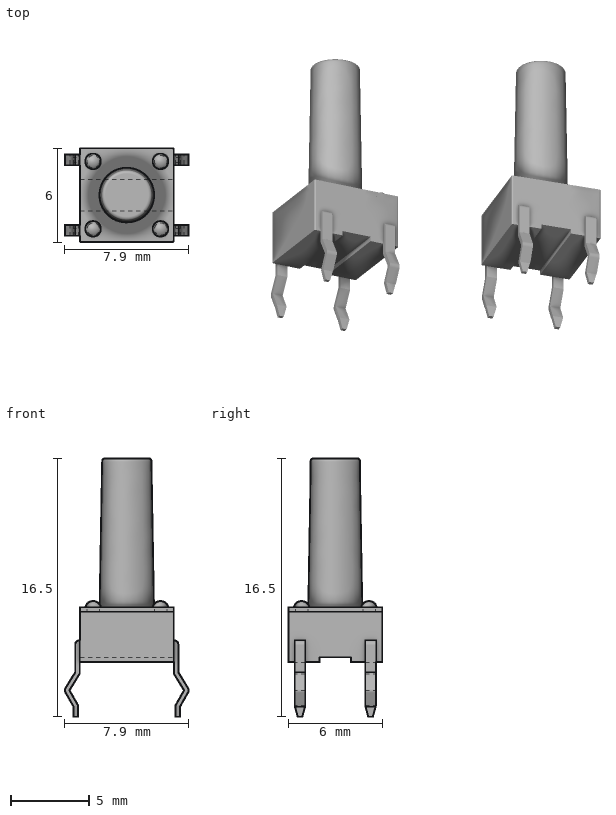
import cadquery as cq
import math


body_width = 6.0
body_height = 3.5
cover_thickness = 0.3
housing_height = body_height - cover_thickness
corner_radius = 0.1
notch_width = 2.0
notch_height = 0.3

rivet_pitch = 4.3
rivet_offset = rivet_pitch / 2
peg_diameter = 0.8
head_diameter = 1.0
head_height = 0.4

plunger_top = 13.0
plunger_diameter = 3.5
plunger_draft = 1.0
plunger_edge_radius = 0.2

terminal_pitch = 4.5
terminal_width = 0.7
strip_thickness = 0.3
shoulder_height = 1.1
knee_height = -0.75
elbow_height = -1.8
tip_height = -2.77
terminal_end = -3.5
terminal_span = 7.9
tip_inset = 0.1
tip_end_width = 0.3


def box_with_round_corners(height):
    block = cq.Workplane("XY").rect(body_width, body_width).extrude(height)
    return block.edges("|Z").fillet(corner_radius)


def at_rivets(plane):
    return plane.rect(rivet_pitch, rivet_pitch, forConstruction=True).vertices()


def make_rivet_head():
    """Spherical cap with its flat side on Z = 0."""
    radius = head_diameter / 2
    sphere_radius = (radius**2 + head_height**2) / (2 * head_height)
    half_angle = math.asin(radius / sphere_radius) / 2
    center_z = head_height - sphere_radius
    arc_middle = (sphere_radius * math.sin(half_angle), center_z + sphere_radius * math.cos(half_angle))
    profile = (
        cq.Workplane("XZ")
        .lineTo(radius, 0)
        .threePointArc(arc_middle, (0, head_height))
        .close()
    )
    return profile.revolve(360, (0, 0), (0, 1))


def make_housing():
    housing = box_with_round_corners(housing_height)
    notch = cq.Workplane("XY").rect(body_width, notch_width).extrude(notch_height)
    housing = housing.cut(notch)
    pegs = at_rivets(cq.Workplane("XY").workplane(offset=housing_height))
    housing = housing.union(pegs.circle(peg_diameter / 2).extrude(cover_thickness))
    head = make_rivet_head().translate((0, 0, body_height))
    for x in (-rivet_offset, rivet_offset):
        for y in (-rivet_offset, rivet_offset):
            housing = housing.union(head.translate((x, y, 0)))
    return housing


def make_cover():
    cover = box_with_round_corners(cover_thickness)
    peg_holes = at_rivets(cq.Workplane("XY")).circle(peg_diameter / 2).extrude(cover_thickness)
    plunger_hole = cq.Workplane("XY").circle(plunger_diameter / 2).extrude(cover_thickness)
    return cover.cut(peg_holes).cut(plunger_hole).translate((0, 0, housing_height))


def make_plunger():
    plunger = (
        cq.Workplane("XY")
        .workplane(offset=housing_height)
        .circle(plunger_diameter / 2)
        .extrude(plunger_top - housing_height, taper=plunger_draft)
    )
    return plunger.faces(">Z").edges().fillet(plunger_edge_radius)


def make_terminal():
    """Terminal on the +X side, centred on Y = 0."""
    inner_x = body_width / 2
    elbow_x = terminal_span / 2 - strip_thickness
    tip_x = inner_x + tip_inset

    upper_lean = math.atan2(elbow_x - inner_x, knee_height - elbow_height)
    lower_lean = math.atan2(elbow_x - tip_x, elbow_height - tip_height)

    outer_x = inner_x + strip_thickness
    outer_knee = knee_height + strip_thickness * math.tan(upper_lean / 2)
    outer_tip = tip_height - strip_thickness * math.tan(lower_lean / 2)
    elbow_start = (
        elbow_x + strip_thickness * math.cos(upper_lean),
        elbow_height + strip_thickness * math.sin(upper_lean),
    )
    elbow_end = (
        elbow_x + strip_thickness * math.cos(lower_lean),
        elbow_height - strip_thickness * math.sin(lower_lean),
    )
    bend_middle = (
        inner_x + strip_thickness * math.cos(math.pi / 4),
        shoulder_height + strip_thickness * math.sin(math.pi / 4),
    )

    side = (
        cq.Workplane("XZ")
        .moveTo(inner_x, shoulder_height + strip_thickness)
        .threePointArc(bend_middle, (outer_x, shoulder_height))
        .lineTo(outer_x, outer_knee)
        .lineTo(*elbow_start)
        .threePointArc((elbow_x + strip_thickness, elbow_height), elbow_end)
        .lineTo(tip_x + strip_thickness, outer_tip)
        .lineTo(tip_x + strip_thickness, terminal_end)
        .lineTo(tip_x, terminal_end)
        .lineTo(tip_x, tip_height)
        .lineTo(elbow_x, elbow_height)
        .lineTo(inner_x, knee_height)
        .close()
        .extrude(terminal_width / 2, both=True)
    )

    half_width = terminal_width / 2
    half_end = tip_end_width / 2
    top = shoulder_height + strip_thickness
    outline = (
        cq.Workplane("YZ")
        .polyline([
            (-half_width, top),
            (half_width, top),
            (half_width, tip_height),
            (half_end, terminal_end),
            (-half_end, terminal_end),
            (-half_width, tip_height),
        ])
        .close()
        .extrude(terminal_span / 2)
    )
    return side.intersect(outline)


housing = make_housing()
cover = make_cover()
plunger = make_plunger()

terminals = []
right_terminal = make_terminal()
left_terminal = right_terminal.mirror("YZ")
for terminal in (left_terminal, right_terminal):
    for y in (-terminal_pitch / 2, terminal_pitch / 2):
        terminals.append(terminal.translate((0, y, 0)))

result = cq.Compound.makeCompound([
    housing.solids().val(),
    cover.solids().val(),
    plunger.solids().val(),
    *[terminal.solids().val() for terminal in terminals],
])